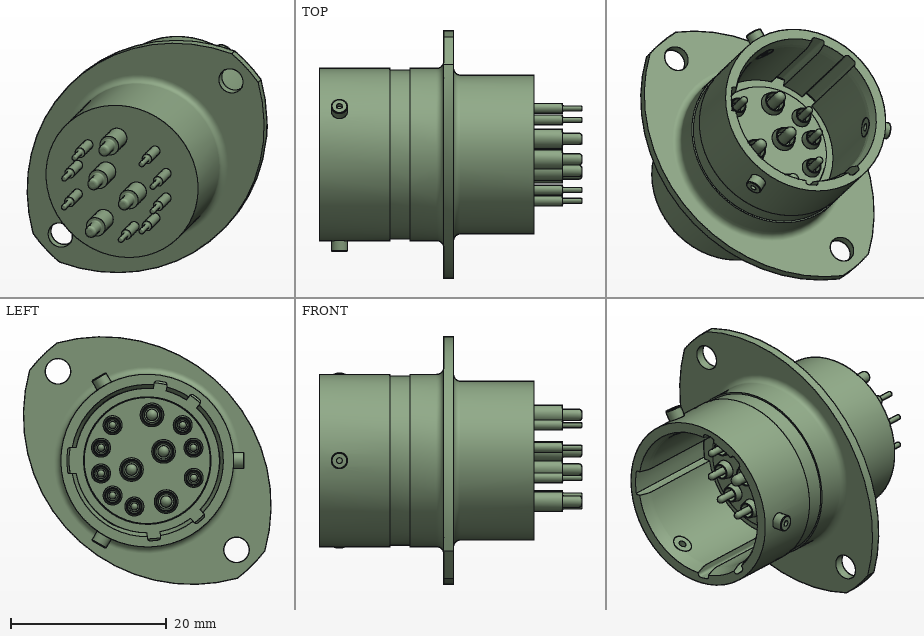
import cadquery as cq
import math

groove_start = 9.03
groove_end = 11.6
flange_front = 15.95
flange_back = 17.2
rear_face = 27.55
contact_shoulder = 31.15
contact_end = 33.7
insert_face = 13.65

front_radius = 11.1
groove_radius = 10.88
rear_radius = 10.2
flange_fillet = 0.88

mouth_radius = 9.77
lead_in_radius = 9.35
lead_in_end = 1.15
bore_radius = 9.25
bore_start = 1.7

flange_half_size = 15.9
flange_end_radius = 19.05
flange_end_half_width = 2.5
mounting_hole_offset = 11.45
mounting_hole_diameter = 3.25

keyways = [(0, 3.35), (100, 1.7), (128, 1.7), (228, 1.7), (265, 1.7)]
keyway_floor_radius = 10.3
keyway_corner_radius = 0.4
keyway_end_radius = 10.05

disc_radius = 8.2
disc_top_radius = 8.1
disc_height = 0.67

pin_tip = 9.7
collar_height = 0.98
collar_taper = 0.2
tail_root_fillet = 0.17
large_contact = {"pin": 0.75, "collar": 1.5, "socket": 1.18, "shank": 1.25, "tail": 0.75, "rounding": 0.4}
small_contact = {"pin": 0.47, "collar": 1.2, "socket": 0.88, "shank": 0.65, "tail": 0.35, "rounding": 0.17}
large_places = [(-0.6, 5.85), (-2.1, 1.18), (2.02, -1.15), (-2.43, -5.25)]
small_places = [
    (4.45, 4.55), (-4.55, 4.55), (-5.93, 1.65), (-5.95, -2.22),
    (1.65, -5.9), (4.45, -4.48), (5.93, -1.65), (5.93, 1.65),
]

bayonet_angles = [60, 180, 300]
bayonet_x = 2.55
bayonet_radius = 1.05
bayonet_tip = 12.43
bayonet_chamfer = 0.1
bayonet_outer_hole_radius = 0.37
bayonet_inner_hole_radius = 0.47
bayonet_outer_hole_depth = 0.67
bayonet_inner_hole_depth = 1.35
bayonet_head_radius = 1.25
bayonet_head_height = 0.5


def turned(profile):
    """Revolve a closed (x, radius) outline about the X axis."""
    return profile.close().revolve(360, (0, 0, 0), (1, 0, 0))


def rod(x_start, x_end, radius, y=0, z=0):
    """A cylinder along X, centred at (y, z)."""
    return (
        cq.Workplane("YZ", origin=(x_start, 0, 0))
        .center(y, z)
        .circle(radius)
        .extrude(x_end - x_start)
    )


def shell_body():
    """Turned outside of the shell, with a concave fillet on each side of the flange."""
    bend = flange_fillet * (1 - math.sqrt(0.5))
    profile = (
        cq.Workplane("XY")
        .lineTo(0, front_radius)
        .lineTo(groove_start, front_radius)
        .lineTo(groove_start, groove_radius)
        .lineTo(groove_end, groove_radius)
        .lineTo(groove_end, front_radius)
        .lineTo(flange_front - flange_fillet, front_radius)
        .threePointArc(
            (flange_front - bend, front_radius + bend),
            (flange_front, front_radius + flange_fillet),
        )
        .lineTo(flange_back, front_radius + flange_fillet)
        .lineTo(flange_back, rear_radius + flange_fillet)
        .threePointArc(
            (flange_back + bend, rear_radius + bend),
            (flange_back + flange_fillet, rear_radius),
        )
        .lineTo(rear_face, rear_radius)
        .lineTo(rear_face, 0)
    )
    return turned(profile)


def flange():
    """Two wide arcs joined by short end arcs about the axis, drilled for two screws."""
    half_width = flange_end_half_width
    half_length = math.sqrt(flange_end_radius**2 - half_width**2)
    inset = math.sqrt(2) * flange_half_size - half_width
    side_radius = math.sqrt(2) * inset - math.sqrt(inset**2 - half_length**2)
    side_reach = side_radius - math.sqrt(2) * (side_radius - flange_half_size)
    plate = (
        cq.Workplane("YZ", origin=(flange_front, 0, 0))
        .moveTo(half_length, -half_width)
        .threePointArc((flange_end_radius, 0), (half_length, half_width))
        .threePointArc((0, side_reach), (-half_length, half_width))
        .threePointArc((-flange_end_radius, 0), (-half_length, -half_width))
        .threePointArc((0, -side_reach), (half_length, -half_width))
        .close()
        .extrude(flange_back - flange_front)
        .rotate((0, 0, 0), (1, 0, 0), 45)
    )
    for side in (1, -1):
        offset = side * mounting_hole_offset
        plate = plate.cut(rod(flange_front, flange_back, mounting_hole_diameter / 2, offset, offset))
    return plate


def bore():
    """Front cavity with its two lead-in cones, ending at the insert face."""
    profile = (
        cq.Workplane("XY")
        .lineTo(0, mouth_radius)
        .lineTo(lead_in_end, lead_in_radius)
        .lineTo(bore_start, bore_radius)
        .lineTo(insert_face, bore_radius)
        .lineTo(insert_face, 0)
    )
    return turned(profile)


def keyway_cutter(angle, width):
    """Round-cornered slot whose end slopes away at its outer edge."""
    overlap = keyway_floor_radius - keyway_end_radius
    slot = (
        cq.Workplane("YZ")
        .center(keyway_floor_radius / 2, 0)
        .rect(keyway_floor_radius, width)
        .extrude(insert_face + overlap)
        .edges("|X and >Y")
        .fillet(keyway_corner_radius)
    )
    envelope = turned(
        cq.Workplane("XY")
        .lineTo(0, keyway_floor_radius)
        .lineTo(insert_face + overlap, keyway_floor_radius)
        .lineTo(insert_face, keyway_end_radius)
        .lineTo(insert_face, 0)
    )
    return slot.intersect(envelope).rotate((0, 0, 0), (1, 0, 0), angle)


def insert_disc():
    """Low raised disc with a bevelled rim."""
    profile = (
        cq.Workplane("XY")
        .moveTo(insert_face, 0)
        .lineTo(insert_face, disc_radius)
        .lineTo(insert_face - disc_height, disc_top_radius)
        .lineTo(insert_face - disc_height, 0)
    )
    return turned(profile)


def collar(sizes, y, z):
    """Tapered collar on the insert face with a tapered socket around the pin."""
    base = insert_face - disc_height
    outer = turned(
        cq.Workplane("XY")
        .moveTo(base, 0)
        .lineTo(base, sizes["collar"])
        .lineTo(base - collar_height, sizes["collar"] - collar_taper)
        .lineTo(base - collar_height, 0)
    )
    socket = turned(
        cq.Workplane("XY")
        .moveTo(base, 0)
        .lineTo(base, sizes["socket"] - collar_taper)
        .lineTo(base - collar_height, sizes["socket"])
        .lineTo(base - collar_height, 0)
    )
    return outer.cut(socket).translate((0, y, z))


def contact(sizes, y, z):
    """Round-nosed pin, shank, and tail with a filleted root and a rounded end, in one turned piece."""
    tail = sizes["tail"]
    rounding = sizes["rounding"]
    root_bend = tail_root_fillet * (1 - math.sqrt(0.5))
    end_bend = rounding * (1 - math.sqrt(0.5))
    pin = sizes["pin"]
    nose = pin * math.sqrt(0.5)
    profile = (
        cq.Workplane("XY")
        .moveTo(pin_tip, 0)
        .threePointArc((pin_tip + pin - nose, nose), (pin_tip + pin, pin))
        .lineTo(insert_face, pin)
        .lineTo(insert_face, sizes["shank"])
        .lineTo(contact_shoulder, sizes["shank"])
        .lineTo(contact_shoulder, tail + tail_root_fillet)
        .threePointArc(
            (contact_shoulder + root_bend, tail + root_bend),
            (contact_shoulder + tail_root_fillet, tail),
        )
        .lineTo(contact_end - rounding, tail)
        .threePointArc(
            (contact_end - end_bend, tail - end_bend),
            (contact_end, tail - rounding),
        )
        .lineTo(contact_end, 0)
    )
    return turned(profile).translate((0, y, z))


def bayonet_blank():
    """Headed stud along +Y; its head lies flush with the bore."""
    shank = (
        cq.Workplane("XZ", origin=(bayonet_x, bore_radius, 0))
        .circle(bayonet_radius)
        .extrude(bore_radius - bayonet_tip)
    )
    head = (
        cq.Workplane("XZ", origin=(bayonet_x, bore_radius, 0))
        .circle(bayonet_head_radius)
        .extrude(-bayonet_head_height)
    )
    return shank.union(head)


def bayonet_hole(angle):
    """Stepped hole in the shell wall that a bayonet pin fills."""
    opening = (
        cq.Workplane("XZ", origin=(bayonet_x, 0, 0))
        .circle(bayonet_head_radius)
        .extrude(-bore_radius)
    )
    return bayonet_blank().union(opening).rotate((0, 0, 0), (1, 0, 0), angle)


def bayonet_pin(angle):
    """Headed stud with a chamfered tip and a blind hole in each end."""
    pin = (
        bayonet_blank()
        .faces(">Y")
        .chamfer(bayonet_chamfer)
        .faces(">Y")
        .workplane()
        .hole(2 * bayonet_outer_hole_radius, bayonet_outer_hole_depth)
        .faces("<Y")
        .workplane()
        .hole(2 * bayonet_inner_hole_radius, bayonet_inner_hole_depth)
    )
    return pin.rotate((0, 0, 0), (1, 0, 0), angle)


connector = shell_body().union(flange()).cut(bore())
for key_angle, key_width in keyways:
    connector = connector.cut(keyway_cutter(key_angle, key_width))
connector = connector.union(insert_disc())
for contact_sizes, places in ((large_contact, large_places), (small_contact, small_places)):
    for contact_y, contact_z in places:
        connector = connector.union(collar(contact_sizes, contact_y, contact_z))
        connector = connector.union(contact(contact_sizes, contact_y, contact_z))
for pin_angle in bayonet_angles:
    connector = connector.cut(bayonet_hole(pin_angle))

bayonet_pins = [bayonet_pin(pin_angle) for pin_angle in bayonet_angles]

result = cq.Compound.makeCompound([connector.val(), *[pin.val() for pin in bayonet_pins]])